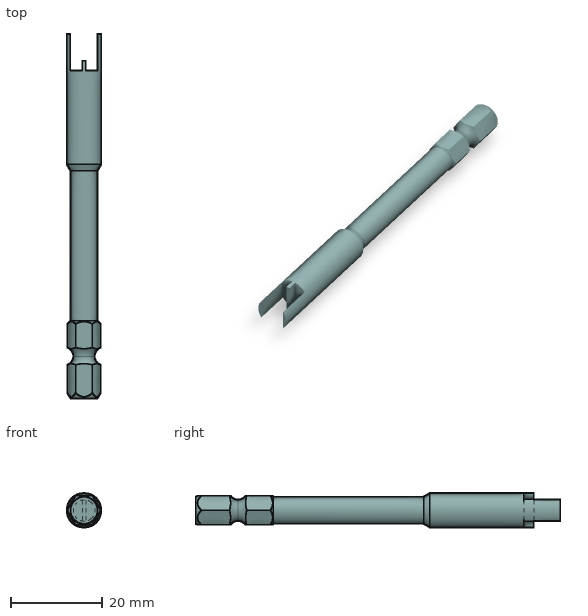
import cadquery as cq
import math

length = 80.0

collar_diameter = 7.6
shaft_diameter = 6.0
collar_cone_start = 50.0
widening_angle = 30.0

slot_width = 5.9
prong_length = 8.0
prong_height = 4.8
tongue_width = 0.8
tongue_length = 2.2

hex_across_flats = 6.4
hex_length = 17.0
end_face_diameter = 5.9
end_chamfer_angle = 30.0
shoulder_chamfer = 0.6

groove_centre = 9.3
neck_diameter = 4.7
groove_end_radius = 1.9
groove_shaft_radius = 2.1

shaft_radius = shaft_diameter / 2
collar_radius = collar_diameter / 2
hex_corner_radius = hex_across_flats / 2 / math.cos(math.radians(30))
neck_radius = neck_diameter / 2
slot_floor = length - prong_length


def revolve_profile(profile):
    """Revolve a closed (radius, y) profile around the Y axis."""
    return profile.close().revolve(360, (0, 0, 0), (0, 1, 0))


def round_body():
    """Shaft and collar, joined by a cone."""
    cone_length = (collar_radius - shaft_radius) / math.tan(math.radians(widening_angle))
    profile = (
        cq.Workplane("XY")
        .moveTo(0, hex_length)
        .lineTo(shaft_radius, hex_length)
        .lineTo(shaft_radius, collar_cone_start)
        .lineTo(collar_radius, collar_cone_start + cone_length)
        .lineTo(collar_radius, length)
        .lineTo(0, length)
    )
    return revolve_profile(profile)


def box_at(width, y_start, y_end, height):
    """Box centred on the axis in X and Z."""
    return (
        cq.Workplane("XY")
        .box(width, y_end - y_start, height, centered=(True, False, True))
        .translate((0, y_start, 0))
    )


def fork_space():
    """Material removed around the two prongs and the central tongue."""
    tip = box_at(collar_diameter, slot_floor, length, collar_diameter)
    gap = box_at(slot_width, slot_floor, length, prong_height)
    prongs = box_at(collar_diameter, slot_floor, length, prong_height).cut(gap)
    tongue = box_at(tongue_width, slot_floor, slot_floor + tongue_length, collar_diameter)
    return tip.cut(prongs).cut(tongue)


def groove_reach(arc_radius):
    """Distance along Y from the neck to where a groove arc meets the hexagon corners."""
    depth = hex_corner_radius - neck_radius
    return math.sqrt(arc_radius**2 - (arc_radius - depth) ** 2)


def hex_shank():
    """Hexagon with flats facing +Z and -Z, trimmed by a turned envelope with a groove."""
    hexagon = (
        cq.Workplane("XZ")
        .polygon(6, 2 * hex_corner_radius)
        .extrude(-hex_length)
    )
    end_radius = end_face_diameter / 2
    chamfer_length = (hex_corner_radius - end_radius) / math.tan(math.radians(end_chamfer_angle))
    end_reach = groove_reach(groove_end_radius)
    shaft_reach = groove_reach(groove_shaft_radius)
    envelope = (
        cq.Workplane("XY")
        .lineTo(end_radius, 0)
        .lineTo(hex_corner_radius, chamfer_length)
        .lineTo(hex_corner_radius, groove_centre - end_reach)
        .radiusArc((neck_radius, groove_centre), groove_end_radius)
        .radiusArc((hex_corner_radius, groove_centre + shaft_reach), groove_shaft_radius)
        .lineTo(hex_corner_radius, hex_length - shoulder_chamfer)
        .lineTo(hex_corner_radius - shoulder_chamfer, hex_length)
        .lineTo(0, hex_length)
    )
    return hexagon.intersect(revolve_profile(envelope))


result = round_body().cut(fork_space()).union(hex_shank())